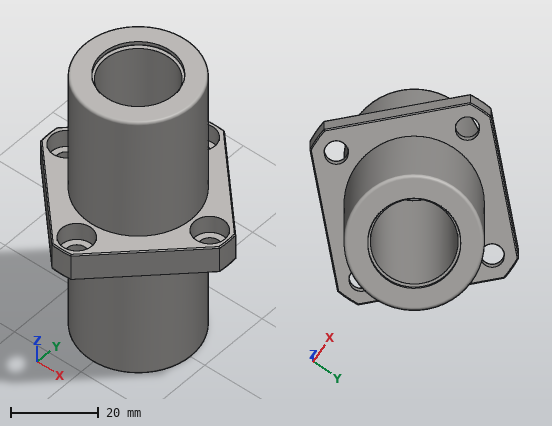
import cadquery as cq

length = 80.0
sleeve_diameter = 32.0
sleeve_edge_fillet = 0.8
bore_diameter = 20.0

lip_diameter = 21.2
lip_depth = 1.1
groove_diameter = 22.4
groove_width = 0.5

flange_thickness = 8.0
flange_width = 42.0
flange_diameter = 54.0
flange_edge_chamfer = 0.3

hole_count = 4
hole_circle_diameter = 43.0
hole_diameter = 5.5
counterbore_diameter = 9.0
counterbore_depth = 5.1


def make_sleeve():
    """Round sleeve centred on the origin with softened end rims."""
    sleeve = cq.Workplane("XY").circle(sleeve_diameter / 2).extrude(length / 2, both=True)
    return sleeve.faces("<Z or >Z").edges().fillet(sleeve_edge_fillet)


def make_flange():
    """Diamond-shaped plate whose four corners lie on the flange circle."""
    square = cq.Workplane("XY").box(flange_width, flange_width, flange_thickness)
    square = square.rotate((0, 0, 0), (0, 0, 1), 45)
    disc = cq.Workplane("XY").circle(flange_diameter / 2).extrude(flange_thickness / 2, both=True)
    return square.intersect(disc).faces("<Z or >Z").edges().chamfer(flange_edge_chamfer)


def cut_mounting_holes(flange):
    """Through holes counterbored from the top of the flange."""
    return (
        flange.faces(">Z")
        .workplane(origin=(0, 0, 0))
        .polarArray(hole_circle_diameter / 2, 0, 360, hole_count)
        .cboreHole(hole_diameter, counterbore_diameter, counterbore_depth)
    )


def make_bore_mouth():
    """Solid filling the lip opening and groove at the top end of the bore."""
    lip_opening = (
        cq.Workplane("XY", origin=(0, 0, length / 2))
        .circle(lip_diameter / 2)
        .extrude(-lip_depth)
    )
    groove = (
        cq.Workplane("XY", origin=(0, 0, length / 2 - lip_depth))
        .circle(groove_diameter / 2)
        .extrude(-groove_width)
    )
    return lip_opening.union(groove)


def cut_bore(body):
    """Through bore with the same lip and groove at both ends."""
    bore = cq.Workplane("XY").circle(bore_diameter / 2).extrude(length / 2, both=True)
    top_mouth = make_bore_mouth()
    bottom_mouth = top_mouth.mirror("XY")
    return body.cut(bore).cut(top_mouth).cut(bottom_mouth)


flange = cut_mounting_holes(make_flange())
result = cut_bore(make_sleeve().union(flange))